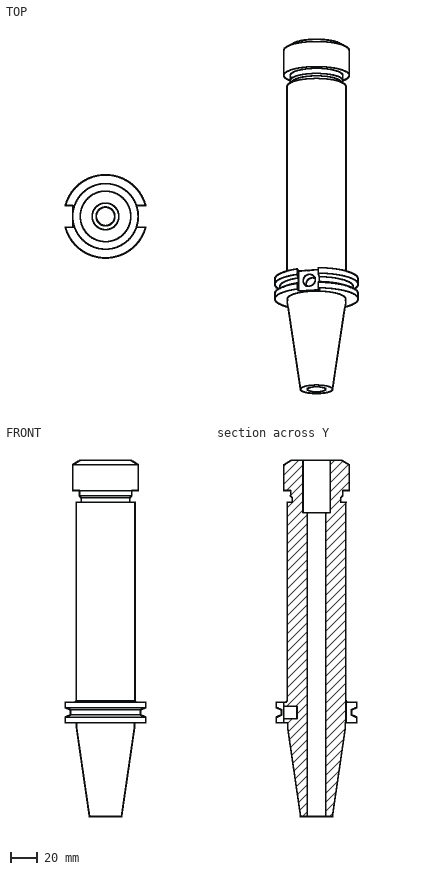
import cadquery as cq


gauge_diameter = 44.45
taper_length = 68.25
taper_ratio = 7 / 24
taper_end_diameter = gauge_diameter - taper_ratio * taper_length

flange_diameter = 63.5
flange_bottom = 3.175
flange_top = 19.05
flange_middle = (flange_bottom + flange_top) / 2
groove_middle = 11.125
groove_mouth = 7.2
groove_floor_diameter = 55.9
groove_floor_width = 3.8

slot_width = 16.38
slot_floor_left = 25.0
slot_floor_right = 22.6
drill_diameter = 9.3
drill_depth = 10.0

projection = 203.2
body_diameter = 45.0
root_diameter = 46.6
root_height = 0.8

nut_diameter = 50.0
nut_face_diameter = 38.5
nut_chamfer_height = 3.5
nut_height = 23.3
thread_diameter = 40.0
thread_end_depth = 27.3
thread_end = projection - thread_end_depth
relief_diameter = 37.0
relief_start = thread_end - (thread_diameter - relief_diameter) / 2
body_top_depth = 32.0
body_top = projection - body_top_depth

collet_bore_diameter = 20.3
collet_bore_depth = 40.0
through_bore_diameter = 14.0


def make_blank():
    """Solid of revolution: taper, flange, body, neck and nut."""
    mouth_bottom = groove_middle - groove_mouth / 2
    mouth_top = groove_middle + groove_mouth / 2
    floor_bottom = groove_middle - groove_floor_width / 2
    floor_top = groove_middle + groove_floor_width / 2
    corners = [
        (taper_end_diameter, -taper_length),
        (gauge_diameter, 0),
        (gauge_diameter, flange_bottom),
        (flange_diameter, flange_bottom),
        (flange_diameter, mouth_bottom),
        (groove_floor_diameter, floor_bottom),
        (groove_floor_diameter, floor_top),
        (flange_diameter, mouth_top),
        (flange_diameter, flange_top),
        (root_diameter, flange_top),
        (body_diameter, flange_top + root_height),
        (body_diameter, body_top),
        (relief_diameter, body_top),
        (relief_diameter, relief_start),
        (thread_diameter, thread_end),
        (thread_diameter, projection - nut_height),
        (nut_diameter, projection - nut_height),
        (nut_diameter, projection - nut_chamfer_height),
        (nut_face_diameter, projection),
    ]
    outline = [(0, -taper_length)]
    outline += [(diameter / 2, height) for diameter, height in corners]
    outline += [(0, projection)]
    return cq.Workplane("XZ").polyline(outline).close().revolve(360, (0, 0), (0, 1))


def make_drive_slot(side, floor):
    """Cutter for one drive slot; side is -1 for -X and +1 for +X."""
    length = flange_diameter / 2
    height = flange_top - flange_bottom
    middle = (side * (floor + length / 2), 0, flange_middle)
    return cq.Workplane("XY").box(length, slot_width, height).translate(middle)


def make_drill():
    """Cutter for the blind round hole in the -X slot floor."""
    start = cq.Vector(-slot_floor_left, 0, flange_middle)
    inward = cq.Vector(1, 0, 0)
    return cq.Solid.makeCylinder(drill_diameter / 2, drill_depth, start, inward)


def make_bores():
    """Cutter for the collet bore and the smaller bore running right through."""
    through = cq.Workplane("XY", origin=(0, 0, -taper_length))
    through = through.circle(through_bore_diameter / 2).extrude(taper_length + projection)
    collet = cq.Workplane("XY", origin=(0, 0, projection))
    collet = collet.circle(collet_bore_diameter / 2).extrude(-collet_bore_depth)
    return through.union(collet)


result = make_blank()
result = result.cut(make_drive_slot(-1, slot_floor_left))
result = result.cut(make_drive_slot(1, slot_floor_right))
result = result.cut(make_drill())
result = result.cut(make_bores())